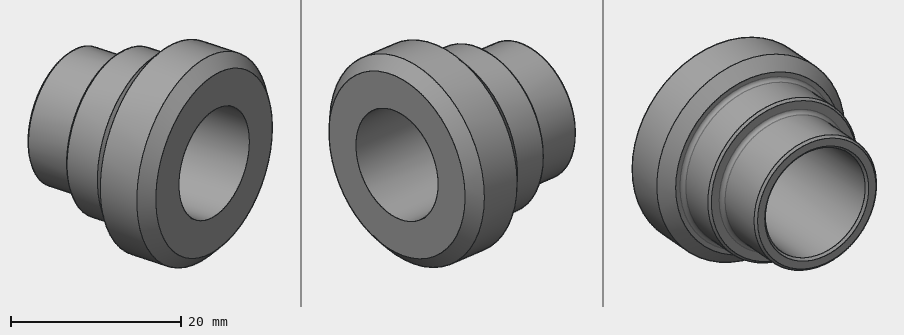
import cadquery as cq

total_length = 21.0
bore_radius = 14.0 / 2
spigot_radius = 17.2 / 2
collar_radius = 21.0 / 2
head_radius = 26.4 / 2

collar_start = 7.0
head_start = 12.5
edge_chamfer = 0.3
head_chamfer = 1.6
shoulder_fillet = 0.5


def cylinder_along_x(radius, start, end):
    """Solid cylinder on the X axis between two X positions."""
    return cq.Workplane("YZ", origin=(start, 0, 0)).circle(radius).extrude(end - start)


def shoulder_fillet_ring(radius, shoulder_x):
    """Ring that rounds the corner between a cylinder and the shoulder behind it."""
    fillet_start = shoulder_x - shoulder_fillet
    fillet_top = radius + shoulder_fillet
    arc_offset = shoulder_fillet * 0.5 ** 0.5
    arc_middle = (fillet_start + arc_offset, fillet_top - arc_offset)
    return (
        cq.Workplane("XY")
        .moveTo(fillet_start, bore_radius)
        .lineTo(fillet_start, radius)
        .threePointArc(arc_middle, (shoulder_x, fillet_top))
        .lineTo(shoulder_x, bore_radius)
        .close()
        .revolve(360, (0, 0, 0), (1, 0, 0))
    )


def outer_body():
    """Spigot, collar and head with their bevelled edges and rounded shoulders."""
    spigot = cylinder_along_x(spigot_radius, 0, collar_start).faces("<X").chamfer(edge_chamfer)
    collar = cylinder_along_x(collar_radius, collar_start, head_start).faces("<X").chamfer(edge_chamfer)
    head = cylinder_along_x(head_radius, head_start, total_length).edges().chamfer(head_chamfer)
    body = spigot.union(collar).union(head)
    body = body.union(shoulder_fillet_ring(spigot_radius, collar_start))
    return body.union(shoulder_fillet_ring(collar_radius, head_start))


def bored(body):
    """Cut the through bore and bevel its entry at the small end."""
    entry_cone = (
        cq.Workplane("XY")
        .lineTo(0, bore_radius + edge_chamfer)
        .lineTo(edge_chamfer, bore_radius)
        .lineTo(edge_chamfer, 0)
        .close()
        .revolve(360, (0, 0, 0), (1, 0, 0))
    )
    return body.cut(cylinder_along_x(bore_radius, 0, total_length)).cut(entry_cone)


result = bored(outer_body())